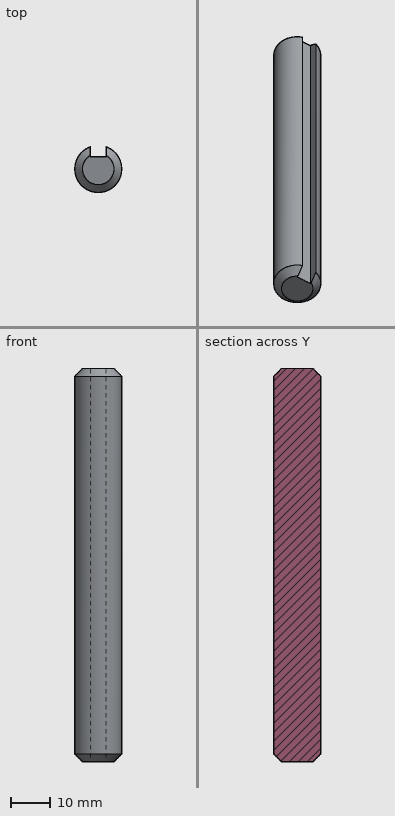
import math

import cadquery as cq

diameter = 12.0
length = 100.0
end_chamfer = 2.0
keyway_width = 4.0
keyway_wall_height = 2.5

radius = diameter / 2
keyway_rim = math.sqrt(radius**2 - (keyway_width / 2) ** 2)
keyway_floor = keyway_rim - keyway_wall_height


def make_pin():
    """Cylinder standing on Z = 0 with both ends chamfered."""
    pin = cq.Workplane("XY").circle(radius).extrude(length)
    return pin.faces("<Z or >Z").chamfer(end_chamfer)


def make_keyway_cutter():
    """Block from the keyway floor outward past the round surface, over the full length."""
    cutter = cq.Workplane("XY").box(keyway_width, radius, length, centered=(True, False, False))
    return cutter.translate((0, keyway_floor, 0))


result = make_pin().cut(make_keyway_cutter())